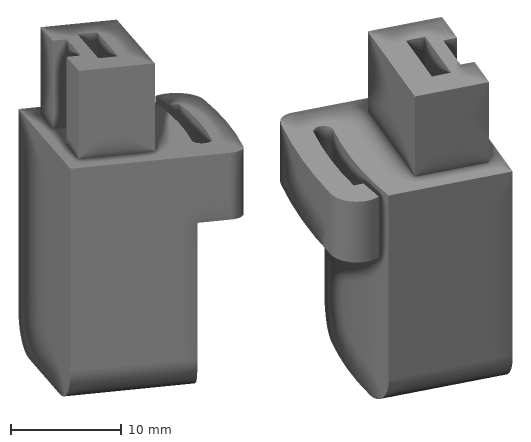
import cadquery as cq
import math

case_width = 16.7
total_height = 31.5
case_height = 22.95
bottom_corner_radius = 3.35
half_width = case_width / 2

parting_crest_y = 11.02
parting_edge_drop = 0.95
parting_radius = (half_width**2 + parting_edge_drop**2) / (2 * parting_edge_drop)
bow_axis_y = parting_crest_y - parting_radius
lid_thickness = 1.92
lid_crest_y = parting_crest_y + lid_thickness

hook_height = 6.45
gap_width = 1.83
gap_end_x = 4.28
hook_inner_crest_y = lid_crest_y + gap_width
hook_crest_y = 17.2
hook_outer_radius = 59.85
hook_corner_radius = 1.58
hook_overhang = 0.2
hook_left_x = -half_width - hook_overhang
hook_nose_radius = 2.68
lip_inner_x = -5.58
lip_clearance = 0.88
lip_face_crest_y = lid_crest_y + lip_clearance

plug_width = 12.22
plug_depth = 7.2
plug_front_y = 1.45
plug_height = total_height - case_height
slot_width = 6.7
slot_depth = 1.85
slot_front_y = 4.13
key_width = 4.5
key_depth = 1.35
key_center_x = -0.05


def bow_y(crest_y, x):
    """Y at x on the bowed surface with the given crest."""
    radius = crest_y - bow_axis_y
    return bow_axis_y + math.sqrt(radius**2 - x**2)


def bow_point(crest_y, x):
    return (x, bow_y(crest_y, x))


def bow_arc(sketch, crest_y, start_x, end_x):
    """Continue a sketch from start_x to end_x along a bowed surface."""
    middle_x = (start_x + end_x) / 2
    return sketch.threePointArc(bow_point(crest_y, middle_x), bow_point(crest_y, end_x))


def bowed_block(crest_y):
    """Case-wide block from the front face to a bowed back, with rounded bottom corners."""
    sketch = (
        cq.Workplane("XY")
        .moveTo(-half_width, 0)
        .lineTo(half_width, 0)
        .lineTo(*bow_point(crest_y, half_width))
    )
    block = bow_arc(sketch, crest_y, half_width, -half_width).close().extrude(case_height)
    rounded_front = (
        cq.Workplane("XZ")
        .rect(case_width, case_height)
        .extrude(-crest_y)
        .translate((0, 0, case_height / 2))
        .edges("|Y and <Z")
        .fillet(bottom_corner_radius)
    )
    return block.intersect(rounded_front)


def make_hook():
    """Strap with its gap open at the left; its root overlaps the lid on the right."""
    outer_axis_y = hook_crest_y - hook_outer_radius

    nose_x = hook_left_x + hook_nose_radius
    reach = hook_outer_radius - hook_nose_radius
    nose_y = outer_axis_y + math.sqrt(reach**2 - nose_x**2)
    tangent_scale = hook_outer_radius / reach
    nose_top = (nose_x * tangent_scale, outer_axis_y + (nose_y - outer_axis_y) * tangent_scale)
    lip_tip = bow_point(lip_face_crest_y, -half_width)
    nose_tip_angle = math.asin((lip_tip[1] - nose_y) / hook_nose_radius)
    nose_tip_x = nose_x - hook_nose_radius * math.cos(nose_tip_angle)
    nose_tip = (nose_tip_x, lip_tip[1])

    gap_outer_end = bow_point(hook_inner_crest_y, gap_end_x)
    gap_inner_end = bow_point(lid_crest_y, gap_end_x)
    gap_center_y = (gap_outer_end[1] + gap_inner_end[1]) / 2
    gap_tip = (gap_end_x + (gap_outer_end[1] - gap_inner_end[1]) / 2, gap_center_y)

    right_top_y = outer_axis_y + math.sqrt(hook_outer_radius**2 - half_width**2)
    sketch = (
        cq.Workplane("XY", origin=(0, 0, case_height - hook_height))
        .moveTo(*nose_tip)
        .threePointArc((hook_left_x, nose_y), nose_top)
        .threePointArc((0, hook_crest_y), (half_width, right_top_y))
        .lineTo(*bow_point(parting_crest_y, half_width))
    )
    sketch = bow_arc(sketch, parting_crest_y, half_width, gap_end_x)
    sketch = sketch.lineTo(*gap_inner_end).threePointArc(gap_tip, gap_outer_end)
    sketch = bow_arc(sketch, hook_inner_crest_y, gap_end_x, lip_inner_x)
    sketch = sketch.lineTo(*bow_point(lip_face_crest_y, lip_inner_x)).close()
    hook = sketch.extrude(hook_height)
    right_corner = cq.selectors.NearestToPointSelector(
        (half_width, right_top_y, case_height - hook_height / 2)
    )
    return hook.edges("|Z").edges(right_corner).fillet(hook_corner_radius)


def make_housing():
    return bowed_block(parting_crest_y)


def make_lid():
    panel = bowed_block(lid_crest_y).cut(bowed_block(parting_crest_y))
    return panel.union(make_hook())


def box_on_case(width, depth, center_x, front_y):
    """Plug-high box standing on the case top."""
    return (
        cq.Workplane("XY", origin=(center_x, front_y + depth / 2, case_height))
        .rect(width, depth)
        .extrude(plug_height)
    )


def make_plug():
    """Block with a contact slot and a front keyway, both along its full height."""
    block = box_on_case(plug_width, plug_depth, 0, plug_front_y)
    slot = box_on_case(slot_width, slot_depth, 0, slot_front_y)
    keyway = box_on_case(key_width, key_depth, key_center_x, plug_front_y)
    return block.cut(slot).cut(keyway)


housing = make_housing()
lid = make_lid()
plug = make_plug()

result = cq.Compound.makeCompound([housing.val(), lid.val(), plug.val()])